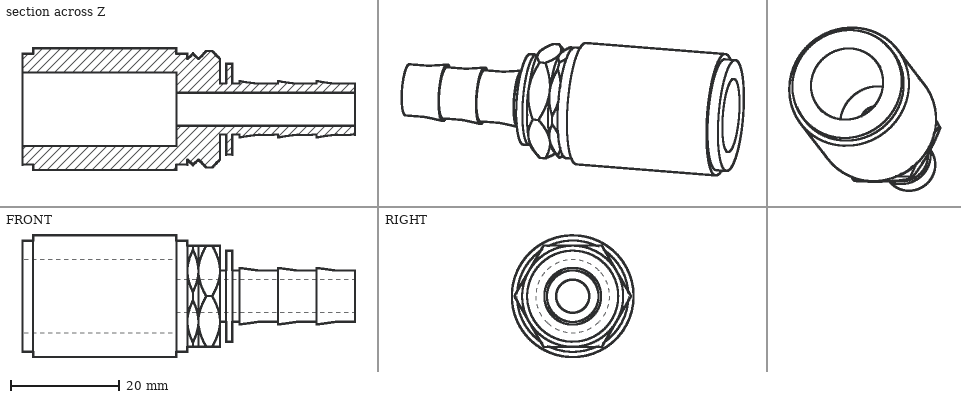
import cadquery as cq
import math

total_length = 61.5
body_diameter = 22.6
collar_diameter = 20.6
body_start = 1.95
body_end = 28.5

thin_nut_start = 30.5
nut_sides = 6
nut_across_flats = 18.7
thin_nut_width = 2.0
thick_nut_width = 4.0

stem_diameter = 9.55
washer_gap = 1.1
washer_diameter = 16.85
washer_thickness = 1.15
barb_count = 3
barb_height = 0.5
barb_length = 3.55
barb_pitch = 2 * barb_length

socket_diameter = 13.6
socket_depth = body_end
through_diameter = 6.1

nut_across_corners = nut_across_flats / math.cos(math.pi / nut_sides)
thick_nut_start = thin_nut_start + thin_nut_width
thick_nut_end = thick_nut_start + thick_nut_width
washer_start = thick_nut_end + washer_gap
first_barb_start = total_length - barb_count * barb_pitch


def cylinder(start, end, diameter):
    """Cylinder on the X axis between two axial places."""
    return cq.Workplane("YZ", origin=(start, 0, 0)).circle(diameter / 2).extrude(end - start)


def revolve_about_axis(profile):
    """Full turn of an XZ profile about the X axis."""
    return profile.close().revolve(360, (0, 0, 0), (1, 0, 0))


def hex_nut(start, width):
    """Hexagon with flats facing +Z and -Z, its corners turned to 45 degrees from both ends."""
    end = start + width
    middle = start + width / 2
    inscribed_radius = nut_across_flats / 2
    hexagon = cq.Workplane("YZ", origin=(start, 0, 0)).polygon(nut_sides, nut_across_corners)
    double_cone = (
        cq.Workplane("XZ")
        .moveTo(start, 0)
        .lineTo(start, inscribed_radius)
        .lineTo(middle, inscribed_radius + width / 2)
        .lineTo(end, inscribed_radius)
        .lineTo(end, 0)
    )
    return hexagon.extrude(width).intersect(revolve_about_axis(double_cone))


def barb(start):
    """Ring that stands square to the stem and tapers back down to it."""
    stem_radius = stem_diameter / 2
    profile = (
        cq.Workplane("XZ")
        .moveTo(start, 0)
        .lineTo(start, stem_radius + barb_height)
        .lineTo(start + barb_length, stem_radius)
        .lineTo(start + barb_length, 0)
    )
    return revolve_about_axis(profile)


result = cylinder(0, thin_nut_start, collar_diameter)
result = result.union(cylinder(body_start, body_end, body_diameter))
result = result.union(hex_nut(thin_nut_start, thin_nut_width))
result = result.union(hex_nut(thick_nut_start, thick_nut_width))
result = result.union(cylinder(thick_nut_end, total_length, stem_diameter))
result = result.union(cylinder(washer_start, washer_start + washer_thickness, washer_diameter))
for index in range(barb_count):
    result = result.union(barb(first_barb_start + index * barb_pitch))

result = result.cut(cylinder(0, socket_depth, socket_diameter))
result = result.cut(cylinder(0, total_length, through_diameter))